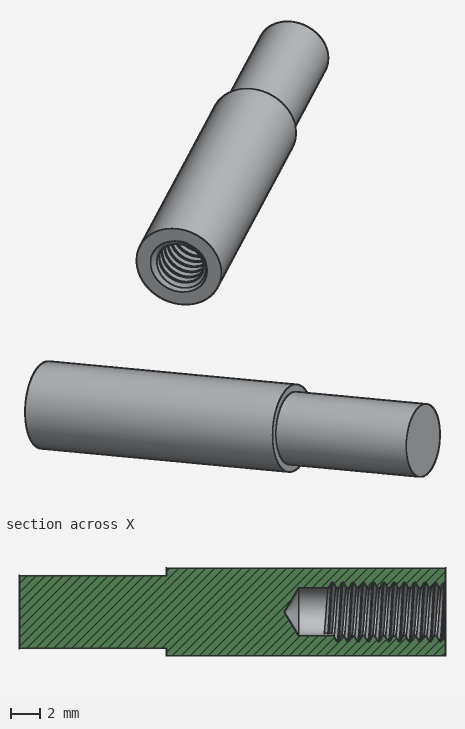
import cadquery as cq
import math

body_diameter = 6.0
body_length = 19.0
shank_diameter = 5.0
shank_length = 10.0

thread_diameter = 4.0
thread_pitch = 0.7
thread_length = 8.0
tap_drill_diameter = 3.242
drill_depth = 10.0
drill_point_angle = 118.0
countersink_angle = 120.0

flank_angle = 60.0
root_width = thread_pitch / 8
groove_overlap = 0.05

body_radius = body_diameter / 2
shank_radius = shank_diameter / 2
thread_radius = thread_diameter / 2
bore_radius = tap_drill_diameter / 2
overall_length = body_length + shank_length


def revolve_about_y(points):
    """Solid of revolution about Y from (radius, y) outline points."""
    outline = cq.Workplane("XY").polyline(points).close()
    return outline.revolve(360, (0, 0, 0), (0, 1, 0))


def stepped_body():
    return revolve_about_y([
        (0, 0),
        (body_radius, 0),
        (body_radius, body_length),
        (shank_radius, body_length),
        (shank_radius, overall_length),
        (0, overall_length),
    ])


def drilled_hole():
    """Tap drill with a conical point and a shallow countersink at the mouth."""
    countersink_depth = (thread_radius - bore_radius) / math.tan(math.radians(countersink_angle / 2))
    point_height = bore_radius / math.tan(math.radians(drill_point_angle / 2))
    return revolve_about_y([
        (0, 0),
        (thread_radius, 0),
        (bore_radius, countersink_depth),
        (bore_radius, drill_depth),
        (0, drill_depth + point_height),
    ])


def thread_groove():
    """Right-hand helical groove cutter, starting one turn outside the mouth."""
    inner_radius = bore_radius - groove_overlap
    flank_rise = (thread_radius - inner_radius) * math.tan(math.radians(flank_angle / 2))
    root_half = root_width / 2
    inner_half = root_half + flank_rise
    lead_in = thread_pitch
    helix = cq.Wire.makeHelix(thread_pitch, thread_length + lead_in, bore_radius)
    groove = (
        cq.Workplane("XZ")
        .polyline([
            (inner_radius, -inner_half),
            (thread_radius, -root_half),
            (thread_radius, root_half),
            (inner_radius, inner_half),
        ])
        .close()
        .sweep(cq.Workplane(helix), isFrenet=True)
    )
    along_y = groove.rotate((0, 0, 0), (1, 0, 0), -90)
    start_at_top = along_y.rotate((0, 0, 0), (0, 1, 0), -90)
    return start_at_top.translate((0, -lead_in, 0))


result = stepped_body().cut(drilled_hole()).cut(thread_groove())